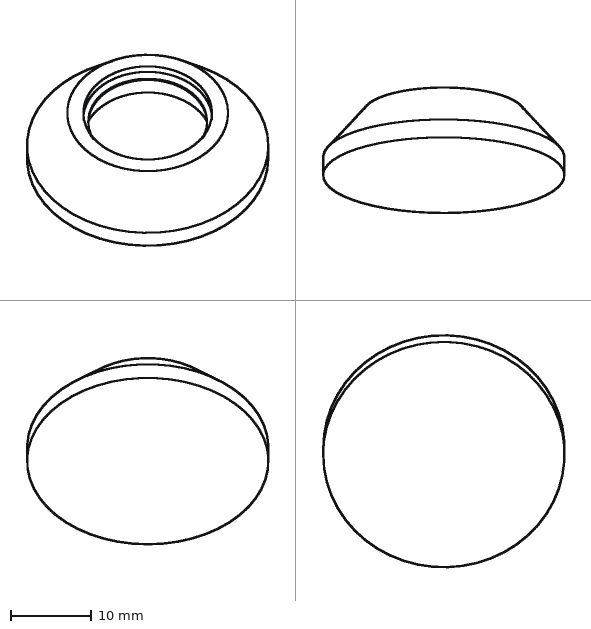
import cadquery as cq

base_diameter = 30.0
top_diameter = 19.98
height = 8.2
rim_height = 2.35

mouth_diameter = 16.0
mouth_depth = 1.0
lip_diameter = 14.75
taper_depth = 0.6
lip_thickness = 0.2
pocket_diameter = mouth_diameter
pocket_depth = 4.7

base_radius = base_diameter / 2
top_radius = top_diameter / 2
mouth_radius = mouth_diameter / 2
lip_radius = lip_diameter / 2
pocket_radius = pocket_diameter / 2

mouth_bottom = height - mouth_depth
taper_bottom = mouth_bottom - taper_depth
lip_bottom = taper_bottom - lip_thickness
pocket_floor = height - pocket_depth

half_section = [
    (0, 0),
    (base_radius, 0),
    (base_radius, rim_height),
    (top_radius, height),
    (mouth_radius, height),
    (mouth_radius, mouth_bottom),
    (lip_radius, taper_bottom),
    (lip_radius, lip_bottom),
    (pocket_radius, lip_bottom),
    (pocket_radius, pocket_floor),
    (0, pocket_floor),
]

result = cq.Workplane("XZ").polyline(half_section).close().revolve(360, (0, 0), (0, 1))